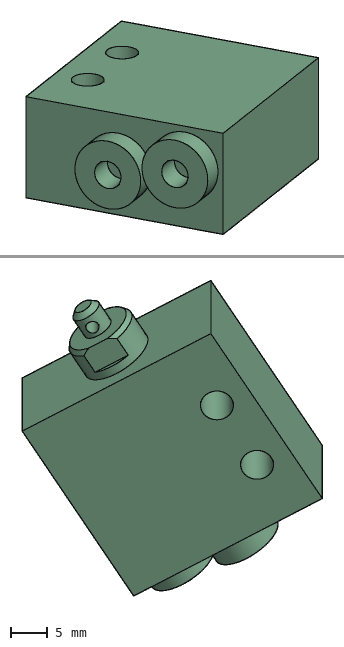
import cadquery as cq

BODY_WIDTH = 30.0
BODY_LENGTH = 30.0
BODY_HEIGHT = 15.0
FRONT_FACE_Y = -BODY_LENGTH / 2
BACK_FACE_Y = BODY_LENGTH / 2

MOUNT_HOLE_DIAMETER = 4.5
MOUNT_HOLE_X = -10.0
MOUNT_HOLE_PITCH = 10.8
FIRST_MOUNT_HOLE_Y = BACK_FACE_Y - 10.1

FITTING_NECK_DIAMETER = 6.0
FITTING_NECK_LENGTH = 0.8
FITTING_FLANGE_DIAMETER = 10.0
FITTING_LENGTH = 4.0
FITTING_BORE_DIAMETER = 4.0
FITTING_CENTRES = [(-0.6, 0.0), (9.6, 2.0)]

GLAND_DIAMETER = 10.0
GLAND_LENGTH = 5.0
GLAND_CHAMFER_RADIAL = 0.5
GLAND_CHAMFER_AXIAL = 0.7
GLAND_FLATS_WIDTH = 8.5
GLAND_COLLAR_LENGTH = 1.3

PIN_DIAMETER = 4.2
PIN_LENGTH = 4.0
PIN_CHAMFER = 0.8
PIN_HOLE_DIAMETER = 1.8
PIN_HOLE_OFFSET = 1.5

GLAND_END_Y = BACK_FACE_Y + GLAND_LENGTH
PIN_END_Y = GLAND_END_Y + PIN_LENGTH


def cylinder_along_y(diameter, start_y, end_y, x=0.0, z=0.0):
    """Solid cylinder running from start_y to end_y, where end_y is the larger."""
    axis_start = cq.Vector(x, start_y, z)
    axis_direction = cq.Vector(0, 1, 0)
    return cq.Workplane(cq.Solid.makeCylinder(diameter / 2, end_y - start_y, axis_start, axis_direction))


def chamfered_cylinder(diameter, start_y, end_y, radial, axial):
    """Cylinder on the Y axis with a chamfer around its end at end_y."""
    radius = diameter / 2
    half_profile = (
        cq.Workplane("XY")
        .moveTo(0, start_y)
        .lineTo(radius, start_y)
        .lineTo(radius, end_y - axial)
        .lineTo(radius - radial, end_y)
        .lineTo(0, end_y)
        .close()
    )
    return half_profile.revolve(360, (0, 0, 0), (0, 1, 0))


def make_body():
    body = cq.Workplane("XY").box(BODY_WIDTH, BODY_LENGTH, BODY_HEIGHT)
    hole_centres = [
        (MOUNT_HOLE_X, FIRST_MOUNT_HOLE_Y),
        (MOUNT_HOLE_X, FIRST_MOUNT_HOLE_Y - MOUNT_HOLE_PITCH),
    ]
    return body.faces(">Z").workplane().pushPoints(hole_centres).hole(MOUNT_HOLE_DIAMETER)


def make_fitting(x, z):
    """Neck and flange, bored through to the front face of the body."""
    end_y = FRONT_FACE_Y - FITTING_LENGTH
    flange_back_y = FRONT_FACE_Y - FITTING_NECK_LENGTH
    neck = cylinder_along_y(FITTING_NECK_DIAMETER, flange_back_y, FRONT_FACE_Y, x, z)
    flange = cylinder_along_y(FITTING_FLANGE_DIAMETER, end_y, flange_back_y, x, z)
    bore = cylinder_along_y(FITTING_BORE_DIAMETER, end_y, FRONT_FACE_Y, x, z)
    return neck.union(flange).cut(bore)


def make_gland():
    gland = chamfered_cylinder(
        GLAND_DIAMETER, BACK_FACE_Y, GLAND_END_Y, GLAND_CHAMFER_RADIAL, GLAND_CHAMFER_AXIAL
    )
    flats_start_y = BACK_FACE_Y + GLAND_COLLAR_LENGTH
    flats_length = GLAND_END_Y - flats_start_y
    flats_middle = (0, flats_start_y + flats_length / 2, 0)
    around_flats = cq.Workplane("XY").box(GLAND_DIAMETER, flats_length, GLAND_DIAMETER)
    between_flats = cq.Workplane("XY").box(GLAND_DIAMETER, flats_length, GLAND_FLATS_WIDTH)
    return gland.cut(around_flats.cut(between_flats).translate(flats_middle))


def make_pin():
    pin = chamfered_cylinder(PIN_DIAMETER, GLAND_END_Y, PIN_END_Y, PIN_CHAMFER, PIN_CHAMFER)
    cross_hole = (
        cq.Workplane("XY")
        .center(0, GLAND_END_Y + PIN_HOLE_OFFSET)
        .circle(PIN_HOLE_DIAMETER / 2)
        .extrude(PIN_DIAMETER, both=True)
    )
    return pin.cut(cross_hole)


result = make_body().union(make_gland()).union(make_pin())
for centre_x, centre_z in FITTING_CENTRES:
    result = result.union(make_fitting(centre_x, centre_z))